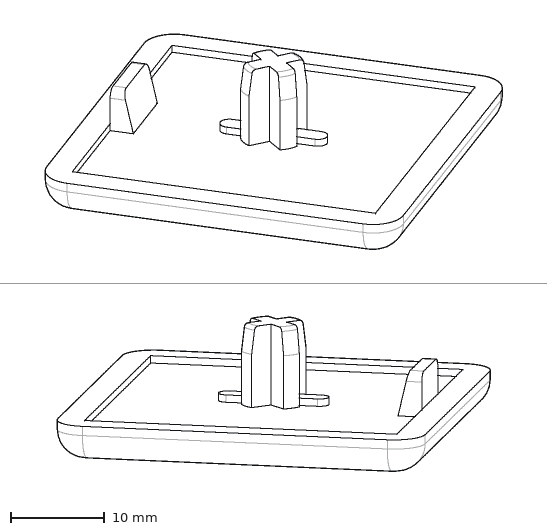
import cadquery as cq

plate_side = 40.0
plate_thickness = 4.0
corner_radius = 3.4
underside_radius = 3.0
rim_width = 3.0
recess_depth = 0.8
recess_side = plate_side - 2 * rim_width
floor_z = plate_thickness - recess_depth

post_top_z = 12.0
post_radius = 3.6
post_tip_radius = 3.2
arm_width = 2.0
taper_start_z = 9.0
tip_rounding = 0.5
arm_angles = (45, 135)

rib_length = 12.0
rib_width = 2.1
rib_height = recess_depth

tab_width = 8.2
tab_top_z = 8.0
tab_foot = 2.6
tab_top = 1.5
tab_corner_radius = 1.0


def make_plate():
    plate = (
        cq.Workplane("XY")
        .rect(plate_side, plate_side)
        .extrude(plate_thickness)
        .edges("|Z")
        .fillet(corner_radius)
        .faces("<Z")
        .edges()
        .fillet(underside_radius)
    )
    recess = cq.Workplane("XY", origin=(0, 0, floor_z)).rect(recess_side, recess_side).extrude(recess_depth)
    return plate.cut(recess)


def make_post():
    post_height = post_top_z - floor_z
    bar = cq.Workplane("XY", origin=(0, 0, floor_z)).rect(2 * post_radius, arm_width).extrude(post_height)
    first_bar, second_bar = [bar.rotate((0, 0, 0), (0, 0, 1), angle) for angle in arm_angles]
    cross = first_bar.union(second_bar)
    envelope = (
        cq.Workplane("XZ")
        .moveTo(0, floor_z)
        .lineTo(post_radius, floor_z)
        .lineTo(post_radius, taper_start_z)
        .lineTo(post_tip_radius, post_top_z)
        .lineTo(0, post_top_z)
        .close()
        .revolve(360, (0, 0, 0), (0, 1, 0))
        .faces(">Z")
        .edges()
        .fillet(tip_rounding)
    )
    return envelope.intersect(cross)


def make_rib():
    return cq.Workplane("XY", origin=(0, 0, floor_z)).slot2D(rib_length, rib_width).extrude(rib_height)


def make_tab():
    wall_x = -recess_side / 2
    wedge = (
        cq.Workplane("XZ")
        .moveTo(wall_x, floor_z)
        .lineTo(wall_x + tab_foot, floor_z)
        .lineTo(wall_x + tab_top, tab_top_z)
        .lineTo(wall_x, tab_top_z)
        .close()
        .extrude(tab_width / 2, both=True)
    )
    outline = (
        cq.Workplane("YZ", origin=(wall_x, 0, 0))
        .center(0, (floor_z + tab_top_z) / 2)
        .rect(tab_width, tab_top_z - floor_z)
        .extrude(tab_foot)
        .edges("|X and >Z")
        .fillet(tab_corner_radius)
    )
    return wedge.intersect(outline)


result = make_plate().union(make_post()).union(make_rib()).union(make_tab())